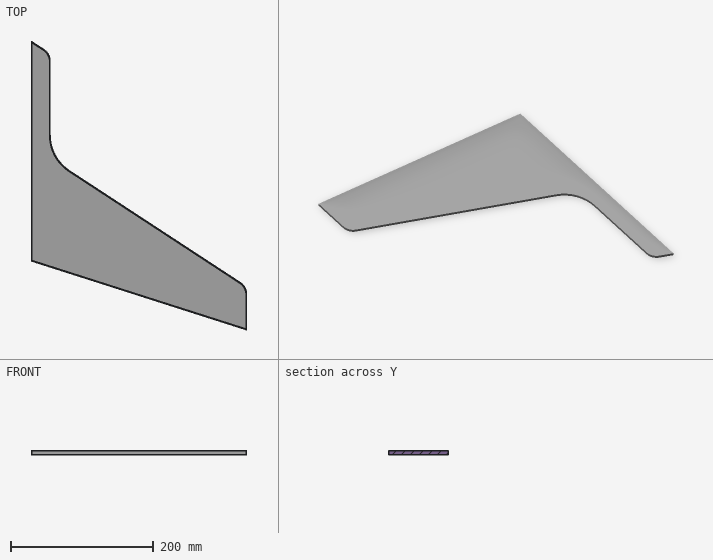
import cadquery as cq
import math

span = 302.5
length = 405.0
thickness = 6.0
strip_width = 26.0
root_height = 97.0
tip_height = 60.0
sweep_angle = 33.2
outer_radius = 20.0
inner_radius = 60.0

slope = math.tan(math.radians(sweep_angle))
strip_end_y = length - strip_width * slope
inner_corner_y = tip_height + (span - strip_width) * slope

outline = [
    (0, root_height),
    (span, 0),
    (span, tip_height),
    (strip_width, inner_corner_y),
    (strip_width, strip_end_y),
    (0, length),
]
plate = cq.Workplane("XY").polyline(outline).close().extrude(thickness)


def round_corner(body, x, y, radius):
    """Round the vertical edge standing at (x, y)."""
    corner = cq.selectors.NearestToPointSelector((x, y, thickness / 2))
    return body.edges("|Z").edges(corner).fillet(radius)


plate = round_corner(plate, span, tip_height, outer_radius)
plate = round_corner(plate, strip_width, strip_end_y, outer_radius)
result = round_corner(plate, strip_width, inner_corner_y, inner_radius)